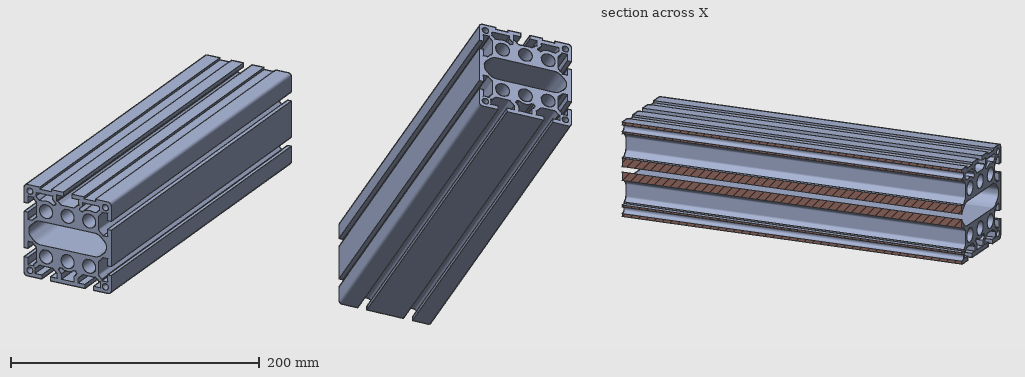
import cadquery as cq
import math

length = 300.0
side = 80.0
half_side = side / 2
corner_radius = 3.0

pitch = 19.8
bore_diameter = 12.0
corner_bore_diameter = 5.5
corner_bore_inset = 5.5
corner_bore_offset = half_side - corner_bore_inset

slot_opening = 7.8
slot_half_width = 10.2
lip_thickness = 3.5
slot_depth = 11.7
slot_bevel = 4.2
slot_ledge_width = 1.2
slot_bevel_radius = 2.5

groove_near = 15.0
groove_far = 25.5
groove_depth = 1.8

chamber_width = 71.0
chamber_height = 20.7
chamber_bevel = 7.2
chamber_flat_radius = 9.0
chamber_end_radius = 6.0

pocket_roof = half_side - 5.5
pocket_floor = 28.5
pocket_near = 13.8
pocket_far = 29.0
pocket_bevel = 3.0
pocket_corner_radius = 1.2
pocket_bore_clearance = 9.3
pocket_toe_x = 10.2
pocket_toe_z = 28.2
pocket_toe_radius = 1.0

keel_half_width = 5.7
keel_floor = lip_thickness - half_side
keel_shoulder_z = -31.8
keel_toe_x = 8.5
keel_toe_z = -28.5
keel_roof = -26.7
keel_roof_far = 7.2
keel_bore_clearance = 8.7


def prism(outline):
    """Extrude a closed XZ outline over the full length, centred on Y."""
    return outline.extrude(length / 2, both=True)


def bar(width, height, x=0, z=0):
    """Full-length rectangular bar centred at (x, z)."""
    return cq.Workplane().box(width, length, height).translate((x, 0, z))


def with_mirror(solid):
    """A solid together with its mirror image on the other side of X = 0."""
    return solid.union(solid.mirror("YZ"))


def bore_grid(x_places, z_places, diameter):
    centres = [(x, z) for x in x_places for z in z_places]
    return prism(cq.Workplane("XZ").pushPoints(centres).circle(diameter / 2))


def slot_flank(offset, direction):
    """Flank of a T-slot from its lip down to its floor, on the side given by direction (-1 or 1).

    A flank facing the next slot of the same face is a plain 45 degree bevel;
    any other flank has a short ledge above the bevel.
    """
    ledge = 0 if offset * direction < 0 else slot_ledge_width
    floor = half_side - slot_depth
    bevel_top = floor + slot_bevel - ledge
    points = [(slot_half_width, half_side - lip_thickness), (slot_half_width, bevel_top)]
    if ledge:
        points.append((slot_half_width - ledge, bevel_top))
    points.append((slot_half_width - slot_bevel, floor))
    return [(offset + direction * across, z) for across, z in points]


def t_slot(offset, turn):
    """T-slot in the top face at X = offset, turned about the Y axis onto its own face."""
    outline = slot_flank(offset, -1) + slot_flank(offset, 1)[::-1]
    undercut = prism(cq.Workplane("XZ").polyline(outline).close())
    undercut = undercut.edges("|Y").edges("<Z").fillet(slot_bevel_radius)
    mouth = bar(slot_opening, slot_depth, offset, half_side - slot_depth / 2)
    return undercut.union(mouth).rotate((0, 0, 0), (0, 1, 0), turn)


def central_chamber():
    chamber = bar(chamber_width, chamber_height)
    chamber = chamber.edges("|Y").chamfer(chamber_bevel)
    chamber = chamber.edges("|Y").edges(">X or <X").fillet(chamber_end_radius)
    return chamber.edges("|Y").edges(">Z or <Z").fillet(chamber_flat_radius)


def top_groove():
    return bar(groove_far - groove_near, 2 * groove_depth, (groove_far + groove_near) / 2, half_side)


def top_pocket():
    """Closed chamber whose floor arches over a bore and ends in a rounded toe."""
    arch_reach = math.sqrt(pocket_bore_clearance**2 - (pocket_floor - pitch) ** 2)
    diagonal = pocket_bore_clearance / math.sqrt(2)
    pocket = prism(
        cq.Workplane("XZ")
        .moveTo(pocket_near, pocket_roof)
        .lineTo(pocket_far, pocket_roof)
        .lineTo(pocket_far, pocket_floor + pocket_bevel)
        .lineTo(pocket_far - pocket_bevel, pocket_floor)
        .lineTo(pitch + arch_reach, pocket_floor)
        .threePointArc((pitch, pitch + pocket_bore_clearance), (pitch - diagonal, pitch + diagonal))
        .lineTo(pocket_toe_x, pocket_toe_z)
        .lineTo(pocket_near, pocket_toe_z + pocket_near - pocket_toe_x)
        .close()
    )
    pocket = pocket.edges("|Y").edges("<X").fillet(pocket_toe_radius)
    return pocket.edges("|Y and >Z").edges(">X").fillet(pocket_corner_radius)


def keel_pocket():
    """Closed chamber on the middle of the bottom, its roof sagging around the bore above."""
    arch_reach = math.sqrt(keel_bore_clearance**2 - (keel_roof + pitch) ** 2)
    right_side = [
        (keel_roof_far, keel_roof),
        (keel_toe_x, keel_toe_z),
        (keel_half_width, keel_shoulder_z),
        (keel_half_width, keel_floor),
    ]
    left_side = [(-x, z) for x, z in reversed(right_side)]
    return prism(
        cq.Workplane("XZ")
        .moveTo(-arch_reach, keel_roof)
        .threePointArc((0, -pitch - keel_bore_clearance), (arch_reach, keel_roof))
        .polyline(right_side + left_side, includeCurrent=True)
        .close()
    )


body = bar(side, side).edges("|Y").fillet(corner_radius)

body = body.cut(bore_grid((-pitch, 0, pitch), (-pitch, pitch), bore_diameter))
corner_places = (-corner_bore_offset, corner_bore_offset)
body = body.cut(bore_grid(corner_places, corner_places, corner_bore_diameter))
body = body.cut(central_chamber())

body = body.cut(t_slot(0, 0))
for turn in (90, 180, 270):
    for offset in (-pitch, pitch):
        body = body.cut(t_slot(offset, turn))

body = body.cut(with_mirror(top_groove()))
body = body.cut(with_mirror(top_pocket()))
body = body.cut(keel_pocket())

result = body